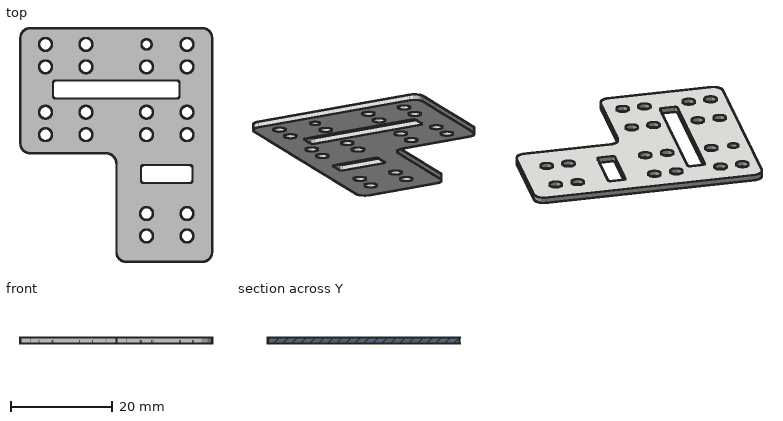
import cadquery as cq

width = 38.0
length = 46.3
thickness = 1.2
leg_width = width / 2
step_y = 21.5
corner_radius = 2.0

edge_margin = 5.0
column_pitch = 8.0
left_columns = [edge_margin, edge_margin + column_pitch]
right_columns = [width - edge_margin - column_pitch, width - edge_margin]

row_pitch = 4.45
leg_pair_y = 5.15
middle_pair_y = 25.2
top_pair_y = 38.6
hole_diameter = 2.5
small_hole_diameter = 2.0

window_height = 3.5
window_radius = 0.45
long_window_length = 25.0
long_window_x = width / 2
long_window_y = (middle_pair_y + top_pair_y + row_pitch) / 2
short_window_length = 10.15
short_window_x = sum(right_columns) / 2
short_window_y = (leg_pair_y + middle_pair_y + row_pitch) / 2


def row_pair(lower_y):
    return [lower_y, lower_y + row_pitch]


def make_plate():
    outline = [
        (0, length),
        (0, step_y),
        (width - leg_width, step_y),
        (width - leg_width, 0),
        (width, 0),
        (width, length),
    ]
    plate = cq.Workplane("XY").polyline(outline).close().extrude(thickness)
    return plate.edges("|Z").fillet(corner_radius)


def make_holes(points, diameter):
    return cq.Workplane("XY").pushPoints(points).circle(diameter / 2).extrude(thickness)


def make_window(x, y, window_length):
    window = cq.Workplane("XY").center(x, y).rect(window_length, window_height)
    return window.extrude(thickness).edges("|Z").fillet(window_radius)


small_hole = (right_columns[0], top_pair_y + row_pitch)

upper_rows = row_pair(middle_pair_y) + row_pair(top_pair_y)
hole_points = [(x, y) for x in left_columns + right_columns for y in upper_rows]
hole_points += [(x, y) for x in right_columns for y in row_pair(leg_pair_y)]
hole_points.remove(small_hole)

result = (
    make_plate()
    .cut(make_holes(hole_points, hole_diameter))
    .cut(make_holes([small_hole], small_hole_diameter))
    .cut(make_window(long_window_x, long_window_y, long_window_length))
    .cut(make_window(short_window_x, short_window_y, short_window_length))
)